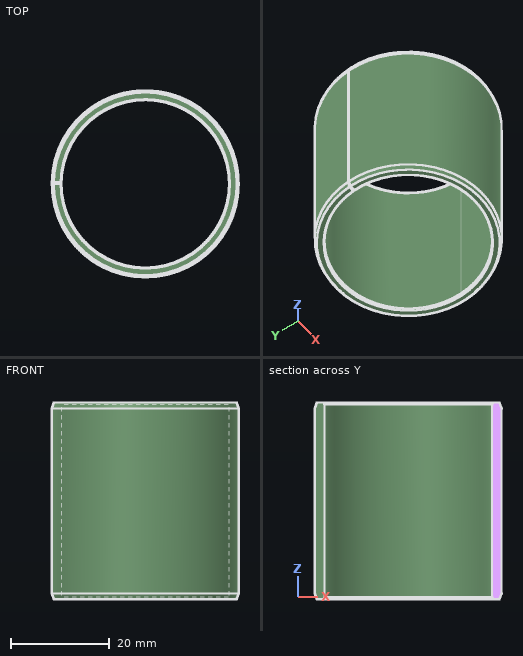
import cadquery as cq

length = 40.0
outer_diameter = 38.0
wall = 2.0
outer_chamfer_height = 1.2
outer_chamfer_depth = 0.45
inner_chamfer_height = 0.5
inner_chamfer_depth = 0.2
slit_width = 0.3

outer_radius = outer_diameter / 2
inner_radius = outer_radius - wall
half_length = length / 2


def make_sleeve():
    """Revolve the wall section, with both edges chamfered at each end."""
    rim_outer = outer_radius - outer_chamfer_depth
    rim_inner = inner_radius + inner_chamfer_depth
    outer_shoulder = half_length - outer_chamfer_height
    inner_shoulder = half_length - inner_chamfer_height
    section = (
        cq.Workplane("XZ")
        .moveTo(inner_radius, -inner_shoulder)
        .lineTo(rim_inner, -half_length)
        .lineTo(rim_outer, -half_length)
        .lineTo(outer_radius, -outer_shoulder)
        .lineTo(outer_radius, outer_shoulder)
        .lineTo(rim_outer, half_length)
        .lineTo(rim_inner, half_length)
        .lineTo(inner_radius, inner_shoulder)
        .close()
    )
    return section.revolve(360, (0, 0, 0), (0, 1, 0))


def make_slit():
    """Box that cuts through the wall on the -X side over the full length."""
    box = cq.Workplane("XY").box(outer_radius, slit_width, length, centered=(False, False, True))
    return box.translate((-outer_radius, 0, 0))


result = make_sleeve().cut(make_slit())